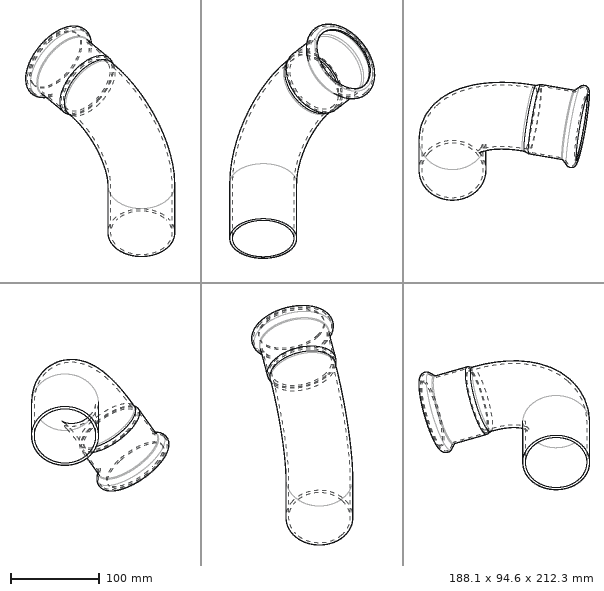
import cadquery as cq
import math

pipe_radius = 76.0 / 2
bore_radius = 34.8
bend_radius = 87.5
spigot_length = 77.5

socket_radius = 80.0 / 2
socket_bore_radius = pipe_radius
socket_wall = socket_radius - socket_bore_radius
socket_end_x = 55.0
taper_end_x = 60.3
bend_start_x = 62.6

bead_outer_radius = 47.3
bead_tube_radius = 6.0
bead_center_radius = bead_outer_radius - bead_tube_radius
neck_fillet_radius = 1.8
flank_angle = math.radians(45)

axis_height = spigot_length + bend_radius
spigot_axis_x = bend_start_x + bend_radius

neck_center_radius = socket_radius + neck_fillet_radius
neck_center_x = bead_tube_radius + (
    bead_tube_radius + neck_fillet_radius
    + (bead_center_radius - neck_center_radius) * math.cos(flank_angle)
) / math.sin(flank_angle)


def arc_point(center_x, center_radius, arc_radius, angle):
    """Point on an arc, with the angle measured from the outward direction toward +X."""
    return (
        center_x + arc_radius * math.sin(angle),
        center_radius + arc_radius * math.cos(angle),
    )


def draw_bead_and_neck(profile, inset):
    """Continue a profile over the bead and flank to the socket wall, offset inward by inset."""
    bead_arc = bead_tube_radius - inset
    neck_arc = neck_fillet_radius + inset

    def on_bead(angle):
        return arc_point(bead_tube_radius, bead_center_radius, bead_arc, angle)

    def on_neck(angle):
        return arc_point(neck_center_x, neck_center_radius, neck_arc, math.pi + angle)

    front_angle = -math.pi / 2
    return (
        profile.lineTo(*on_bead(front_angle))
        .threePointArc(on_bead((front_angle + flank_angle) / 2), on_bead(flank_angle))
        .lineTo(*on_neck(flank_angle))
        .threePointArc(on_neck(flank_angle / 2), on_neck(0))
    )


def revolve_about_socket_axis(profile):
    """Revolve an (x, radius) profile about X, then lift it to the socket axis."""
    return profile.close().revolve(360, (0, 0), (1, 0)).translate((0, 0, axis_height))


def make_socket_body():
    profile = draw_bead_and_neck(cq.Workplane("XZ").moveTo(0, 0), 0)
    profile = (
        profile.lineTo(socket_end_x, socket_radius)
        .lineTo(taper_end_x, pipe_radius)
        .lineTo(bend_start_x, pipe_radius)
        .lineTo(bend_start_x, 0)
    )
    return revolve_about_socket_axis(profile)


def make_socket_cavity():
    profile = (
        cq.Workplane("XZ")
        .lineTo(0, socket_bore_radius)
        .lineTo(socket_wall, socket_bore_radius)
    )
    profile = draw_bead_and_neck(profile, socket_wall)
    profile = (
        profile.lineTo(socket_end_x, socket_bore_radius)
        .lineTo(socket_end_x, bore_radius)
        .lineTo(bend_start_x, bore_radius)
        .lineTo(bend_start_x, 0)
    )
    return revolve_about_socket_axis(profile)


def make_bend_and_spigot(radius):
    """Solid round bar following the 90 degree bend and the straight spigot."""
    bend = (
        cq.Workplane("YZ", origin=(bend_start_x, 0, axis_height))
        .circle(radius)
        .revolve(90, (0, -bend_radius), (1, -bend_radius))
    )
    spigot = (
        cq.Workplane("XY", origin=(spigot_axis_x, 0, 0))
        .circle(radius)
        .extrude(spigot_length)
    )
    return bend.union(spigot)


body = make_socket_body().union(make_bend_and_spigot(pipe_radius))
cavity = make_socket_cavity().union(make_bend_and_spigot(bore_radius))
result = body.cut(cavity)